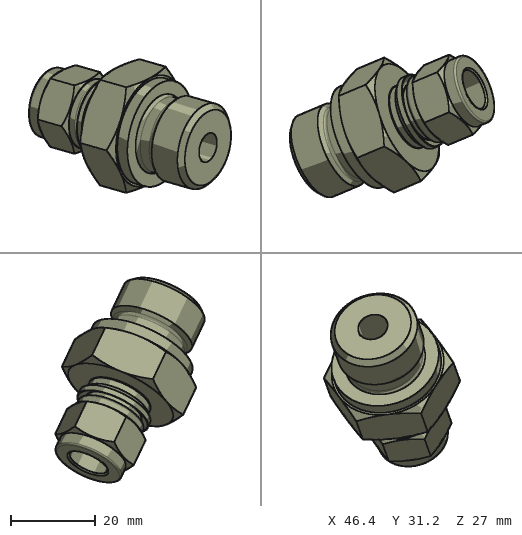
import cadquery as cq
import math


length = 46.4
nut_hex_start = 3.05
nut_hex_end = 11.95
nut_end = 14.0
ring_start = 14.7
ring_cone_start = 16.15
gap_taper_start = 15.55
dish_bottom = 16.5
groove_start = 19.1
body_hex_start = 19.35
body_hex_end = 29.42
shoulder_end = 32.35
thread_start = 37.65

nut_diameter = 17.0
nut_rear_diameter = 16.8
nut_flats = 17.5
gap_diameter = 14.3
undercut_diameter = 13.05
dish_rim_diameter = 17.85
ring_diameter = 18.25
neck_diameter = 15.8
groove_diameter = 15.4
body_flats = 27.0
shoulder_diameter = 25.8
relief_diameter = 18.4
thread_diameter = 20.9
bore_diameter = 7.1
tube_diameter = 9.75

nut_fillet = 0.45
thread_chamfer = 1.25
relief_radius = 1.15
relief_run = 0.95
hex_chamfer_angle = 30.0
tube_depth = 14.85
tube_chamfer = 0.4
dish_sag = 0.4


def cylinder(start, end, diameter):
    return cq.Workplane("YZ", origin=(start, 0, 0)).circle(diameter / 2).extrude(end - start)


def chamfered_hex(start, end, flats, face_diameter):
    """Hexagon with corners on Y, each end trimmed by a cone starting at face_diameter."""
    corner_radius = flats / math.sqrt(3)
    face_radius = face_diameter / 2
    chamfer_run = (corner_radius - face_radius) * math.tan(math.radians(hex_chamfer_angle))
    prism = (
        cq.Workplane("YZ", origin=(start, 0, 0))
        .polygon(6, 2 * corner_radius)
        .extrude(end - start)
    )
    envelope = (
        cq.Workplane("XY")
        .moveTo(start, 0)
        .lineTo(start, face_radius)
        .lineTo(start + chamfer_run, corner_radius)
        .lineTo(end - chamfer_run, corner_radius)
        .lineTo(end, face_radius)
        .lineTo(end, 0)
        .close()
        .revolve(360, (0, 0, 0), (1, 0, 0))
    )
    return prism.intersect(envelope)


def compression_nut():
    front = cylinder(0, nut_hex_end, nut_diameter).faces("<X").edges().fillet(nut_fillet)
    rear = cylinder(nut_hex_end, nut_end, nut_rear_diameter).faces(">X").edges().fillet(nut_fillet)
    return front.union(chamfered_hex(nut_hex_start, nut_hex_end, nut_flats, nut_diameter)).union(rear)


def collar_and_neck():
    """Collar ring with a concave front face, a 45 degree rear cone and a groove at the body."""
    cone_run = (ring_diameter - neck_diameter) / 2
    undercut_r = undercut_diameter / 2
    dish_rim_r = dish_rim_diameter / 2
    gap_taper_run = (gap_diameter - undercut_diameter) / 2

    chord_x = ring_start - dish_bottom
    chord_r = dish_rim_r - undercut_r
    chord = math.hypot(chord_x, chord_r)
    dish_middle = (
        (ring_start + dish_bottom) / 2 + dish_sag * chord_r / chord,
        (dish_rim_r + undercut_r) / 2 - dish_sag * chord_x / chord,
    )
    return (
        cq.Workplane("XY")
        .moveTo(nut_end, 0)
        .lineTo(nut_end, gap_diameter / 2)
        .lineTo(gap_taper_start, gap_diameter / 2)
        .lineTo(gap_taper_start + gap_taper_run, undercut_r)
        .lineTo(dish_bottom, undercut_r)
        .threePointArc(dish_middle, (ring_start, dish_rim_r))
        .lineTo(ring_start, ring_diameter / 2)
        .lineTo(ring_cone_start, ring_diameter / 2)
        .lineTo(ring_cone_start + cone_run, neck_diameter / 2)
        .lineTo(groove_start, neck_diameter / 2)
        .lineTo(groove_start, groove_diameter / 2)
        .lineTo(body_hex_start, groove_diameter / 2)
        .lineTo(body_hex_start, 0)
        .close()
        .revolve(360, (0, 0, 0), (1, 0, 0))
    )


def threaded_end():
    """Undercut relief with rounded ends, a 45 degree rise and a chamfered thread cylinder."""
    relief_r = relief_diameter / 2
    thread_r = thread_diameter / 2
    arc_center_r = relief_r + relief_radius

    left_end_r = arc_center_r - math.sqrt(relief_radius**2 - relief_run**2)
    left_angle = math.asin(relief_run / relief_radius) / 2
    left_center_x = shoulder_end + relief_run
    left_middle = (
        left_center_x - relief_radius * math.sin(left_angle),
        arc_center_r - relief_radius * math.cos(left_angle),
    )
    right_angle = math.radians(45)
    rise_start_r = arc_center_r - relief_radius * math.cos(right_angle)
    rise_start_x = thread_start - (thread_r - rise_start_r)
    right_center_x = rise_start_x - relief_radius * math.sin(right_angle)
    right_middle = (
        right_center_x + relief_radius * math.sin(right_angle / 2),
        arc_center_r - relief_radius * math.cos(right_angle / 2),
    )
    return (
        cq.Workplane("XY")
        .moveTo(shoulder_end, 0)
        .lineTo(shoulder_end, left_end_r)
        .threePointArc(left_middle, (left_center_x, relief_r))
        .lineTo(right_center_x, relief_r)
        .threePointArc(right_middle, (rise_start_x, rise_start_r))
        .lineTo(thread_start, thread_r)
        .lineTo(length - thread_chamfer, thread_r)
        .lineTo(length, thread_r - thread_chamfer)
        .lineTo(length, 0)
        .close()
        .revolve(360, (0, 0, 0), (1, 0, 0))
    )


def bore():
    """Through bore with a wider tube socket and a chamfered entry."""
    tube_r = tube_diameter / 2
    bore_r = bore_diameter / 2
    return (
        cq.Workplane("XY")
        .lineTo(0, tube_r + tube_chamfer)
        .lineTo(tube_chamfer, tube_r)
        .lineTo(tube_depth, tube_r)
        .lineTo(tube_depth, bore_r)
        .lineTo(length, bore_r)
        .lineTo(length, 0)
        .close()
        .revolve(360, (0, 0, 0), (1, 0, 0))
    )


result = (
    compression_nut()
    .union(collar_and_neck())
    .union(chamfered_hex(body_hex_start, body_hex_end, body_flats, body_flats))
    .union(cylinder(body_hex_end, shoulder_end, shoulder_diameter))
    .union(threaded_end())
    .cut(bore())
)